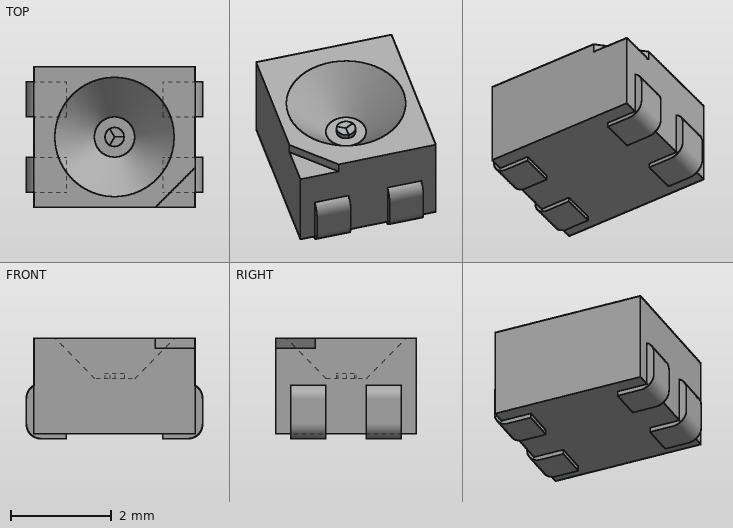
import cadquery as cq
import math

overall_length = 3.51
overall_height = 2.0
housing_length = 3.2
housing_width = 2.8
standoff = 0.1
housing_height = overall_height - standoff

cup_top_radius = 1.185
cup_floor_radius = 0.4
cup_depth = 0.8
cup_floor_z = overall_height - cup_depth

mark_leg = 0.79
mark_depth = 0.2

chip_count = 3
chip_radius = 0.19
chip_height = 0.1
chip_angle = 360 / chip_count

lead_width = 0.7
lead_pitch = 1.502
lead_foot_length = 0.8
lead_bend_radius = 0.3
lead_straight_top = 0.8


def make_housing():
    """Block with a conical cup and a recessed corner mark."""
    block = (
        cq.Workplane("XY", origin=(0, 0, standoff))
        .rect(housing_length, housing_width)
        .extrude(housing_height)
    )
    cup = cq.Workplane("XY").add(
        cq.Solid.makeCone(cup_floor_radius, cup_top_radius, cup_depth, cq.Vector(0, 0, cup_floor_z))
    )
    corner_x = housing_length / 2
    corner_y = -housing_width / 2
    corner_mark = (
        cq.Workplane("XY", origin=(0, 0, overall_height))
        .moveTo(corner_x, corner_y)
        .lineTo(corner_x, corner_y + mark_leg)
        .lineTo(corner_x - mark_leg, corner_y)
        .close()
        .extrude(-mark_depth)
    )
    return block.cut(cup).cut(corner_mark)


def make_lead(side, center_y):
    """Lead hugging the housing side and underside; side is -1 or +1 along X."""
    outer_x = overall_length / 2
    wall_x = housing_length / 2
    foot_end_x = outer_x - lead_foot_length
    bend_center_x = outer_x - lead_bend_radius

    wall_angle = math.acos((wall_x - bend_center_x) / lead_bend_radius)
    upper_mid_x = bend_center_x + lead_bend_radius * math.cos(wall_angle / 2)
    upper_mid_z = lead_straight_top + lead_bend_radius * math.sin(wall_angle / 2)
    wall_top_z = lead_straight_top + lead_bend_radius * math.sin(wall_angle)

    diagonal = lead_bend_radius * math.sqrt(0.5)
    lower_mid_x = bend_center_x + diagonal
    lower_mid_z = lead_bend_radius - diagonal

    profile = (
        cq.Workplane("XZ", origin=(0, center_y, 0))
        .moveTo(side * foot_end_x, 0)
        .lineTo(side * bend_center_x, 0)
        .threePointArc((side * lower_mid_x, lower_mid_z), (side * outer_x, lead_bend_radius))
        .lineTo(side * outer_x, lead_straight_top)
        .threePointArc((side * upper_mid_x, upper_mid_z), (side * wall_x, wall_top_z))
        .lineTo(side * wall_x, standoff)
        .lineTo(side * foot_end_x, standoff)
        .close()
    )
    return profile.extrude(lead_width / 2, both=True)


def make_chip(start_angle):
    """Sector of the chip disc, counterclockwise from start_angle in degrees."""
    start = math.radians(start_angle)
    middle = math.radians(start_angle + chip_angle / 2)
    end = math.radians(start_angle + chip_angle)
    start_point, middle_point, end_point = [
        (chip_radius * math.cos(angle), chip_radius * math.sin(angle))
        for angle in (start, middle, end)
    ]
    return (
        cq.Workplane("XY", origin=(0, 0, cup_floor_z))
        .lineTo(*start_point)
        .threePointArc(middle_point, end_point)
        .close()
        .extrude(chip_height)
    )


housing = make_housing()

leads = []
for side in (-1, 1):
    for center_y in (-lead_pitch / 2, lead_pitch / 2):
        leads.append(make_lead(side, center_y).val())

chips = []
for index in range(chip_count):
    chips.append(make_chip(index * chip_angle).val())

result = cq.Compound.makeCompound([housing.val(), *leads, *chips])